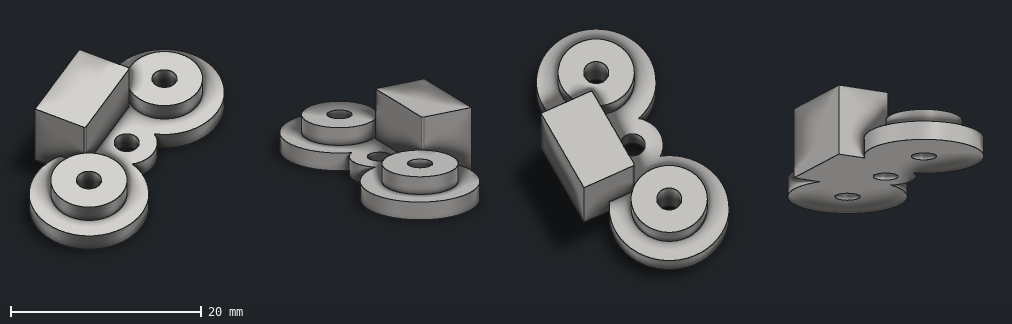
import cadquery as cq

total_length = 29.57
disc_diameter = 12.6
disc_spacing = total_length - disc_diameter
plate_thickness = 2.0
boss_diameter = 8.0
boss_top = 4.0
hole_diameter = 2.6
hub_diameter = 6.42

block_width = 6.0
block_length = 10.0
block_height = 7.6
block_overhang = 1.98
corner_radius = 0.2

block_left = -disc_diameter / 2 - block_overhang
block_right = block_left + block_width
disc_centers = [(0, -disc_spacing / 2), (0, disc_spacing / 2)]
hole_centers = disc_centers + [(0, 0)]


def cylinders(centers, diameter, height):
    """Upright cylinders standing on the base plane."""
    return cq.Workplane("XY").pushPoints(centers).circle(diameter / 2).extrude(height)


discs = cylinders(disc_centers, disc_diameter, plate_thickness)
bosses = cylinders(disc_centers, boss_diameter, boss_top)
hub = cylinders([(0, 0)], hub_diameter, plate_thickness)

web = cq.Workplane("XY").box(
    -block_right, block_length, plate_thickness, centered=(False, True, False)
).translate((block_right, 0, 0))

block = (
    cq.Workplane("XY")
    .box(block_width, block_length, block_height, centered=(False, True, False))
    .translate((block_left, 0, 0))
    .edges("|Z and >X")
    .fillet(corner_radius)
)

holes = cylinders(hole_centers, hole_diameter, boss_top)
result = discs.union(bosses).union(hub).union(web).cut(holes).union(block)